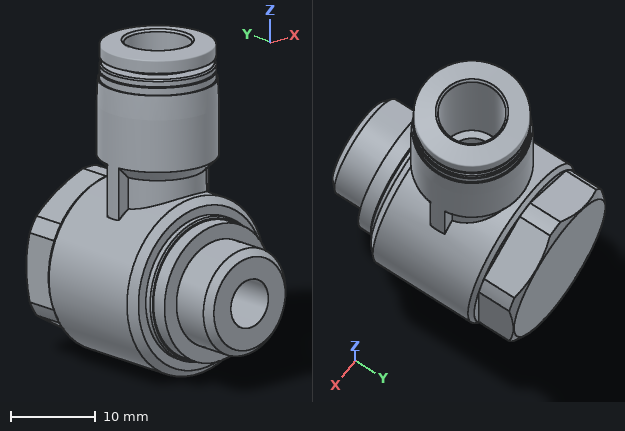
import cadquery as cq
import math


NUT_REAR_Y = 12.55
BODY_REAR_Y = 7.6
BODY_FRONT_Y = -7.6
SEAL_FRONT_Y = -8.55
SHOULDER_FRONT_Y = -10.45
STUD_FRONT_Y = -16.05

BODY_RADIUS = 22.0 / 2
BODY_FRONT_CHAMFER = 0.95
BODY_REAR_CHAMFER_LENGTH = 0.6
BODY_REAR_CHAMFER_DROP = 0.45
SEAL_RADIUS = 17.7 / 2
SEAL_CHAMFER = 0.2
SHOULDER_RADIUS = 17.0 / 2
STUD_RADIUS = 13.15 / 2
STUD_CHAMFER = 0.88

NUT_FLATS = 19.15
NUT_CORNER_RADIUS = 10.5
NUT_FACE_RADIUS = 9.5
NUT_CHAMFER_LENGTH = 0.65

OVERALL_HEIGHT = 39.9
TOP_Z = OVERALL_HEIGHT - BODY_RADIUS
BUTTON_BOTTOM_Z = TOP_Z - 2.0
CAP_TOP_Z = TOP_Z - 2.8
GROOVE_Z = TOP_Z - 3.75
SLEEVE_TOP_Z = TOP_Z - 4.7
CROWN_BOTTOM_Z = TOP_Z - 7.7
SLEEVE_BOTTOM_Z = TOP_Z - 14.12

BUTTON_RADIUS = 13.8 / 2
BUTTON_CROWN_DROP = 0.35
BUTTON_ROUND = 0.2
BUTTON_NECK_RADIUS = 9.8 / 2
BUTTON_NECK_CHAMFER = 0.15
CAP_CHAMFER = 0.2
GROOVE_WIDTH = 0.1
GROOVE_DEPTH = 0.1
SLEEVE_RADIUS = 14.5 / 2
SLEEVE_TOP_RADIUS = 7.1
NECK_RADIUS = 5.75
RIB_THICKNESS = 2.07

TUBE_BORE_RADIUS = 8.0 / 2
TUBE_BORE_CHAMFER = 0.28
TUBE_BORE_BOTTOM_Z = SLEEVE_BOTTOM_Z
FLOW_RADIUS = 6.0 / 2


def y_cylinder(radius, y_start, y_end):
    """Cylinder on the stud axis, from y_start forward to y_end."""
    return cq.Workplane("XZ", origin=(0, y_start, 0)).circle(radius).extrude(y_start - y_end)


def z_cylinder(radius, z_bottom, z_top):
    return cq.Workplane("XY", origin=(0, 0, z_bottom)).circle(radius).extrude(z_top - z_bottom)


def make_stud_body():
    """Turned body, seal ring, shoulder and stud."""
    profile = [
        (0, BODY_REAR_Y),
        (BODY_RADIUS - BODY_REAR_CHAMFER_DROP, BODY_REAR_Y),
        (BODY_RADIUS, BODY_REAR_Y - BODY_REAR_CHAMFER_LENGTH),
        (BODY_RADIUS, BODY_FRONT_Y + BODY_FRONT_CHAMFER),
        (BODY_RADIUS - BODY_FRONT_CHAMFER, BODY_FRONT_Y),
        (SEAL_RADIUS, BODY_FRONT_Y),
        (SEAL_RADIUS, SEAL_FRONT_Y + SEAL_CHAMFER),
        (SEAL_RADIUS - SEAL_CHAMFER, SEAL_FRONT_Y),
        (SHOULDER_RADIUS, SEAL_FRONT_Y),
        (SHOULDER_RADIUS, SHOULDER_FRONT_Y),
        (STUD_RADIUS, SHOULDER_FRONT_Y),
        (STUD_RADIUS, STUD_FRONT_Y + STUD_CHAMFER),
        (STUD_RADIUS - STUD_CHAMFER, STUD_FRONT_Y),
        (0, STUD_FRONT_Y),
    ]
    return cq.Workplane("XY").polyline(profile).close().revolve(360, (0, 0, 0), (0, 1, 0))


def make_nut():
    """Hexagon with two flats facing +/-X, trimmed by a chamfered cylinder."""
    corner_diameter = NUT_FLATS / math.cos(math.pi / 6)
    hexagon = (
        cq.Workplane("XZ", origin=(0, NUT_REAR_Y, 0))
        .transformed(rotate=(0, 0, 90))
        .polygon(6, corner_diameter)
        .extrude(NUT_REAR_Y - BODY_REAR_Y)
    )
    envelope_profile = [
        (0, BODY_REAR_Y),
        (NUT_CORNER_RADIUS, BODY_REAR_Y),
        (NUT_CORNER_RADIUS, NUT_REAR_Y - NUT_CHAMFER_LENGTH),
        (NUT_FACE_RADIUS, NUT_REAR_Y),
        (0, NUT_REAR_Y),
    ]
    envelope = cq.Workplane("XY").polyline(envelope_profile).close().revolve(360, (0, 0, 0), (0, 1, 0))
    return hexagon.intersect(envelope)


def make_tube_socket():
    """Turned neck, sleeve with curved crown, grooved cap and release button."""
    groove_bottom_z = GROOVE_Z - GROOVE_WIDTH / 2
    groove_top_z = GROOVE_Z + GROOVE_WIDTH / 2
    neck_top_z = SLEEVE_BOTTOM_Z - (SLEEVE_RADIUS - NECK_RADIUS)
    crown_edge_z = TOP_Z - BUTTON_CROWN_DROP
    button_neck_top_z = BUTTON_BOTTOM_Z - BUTTON_NECK_CHAMFER
    profile = (
        cq.Workplane("XZ")
        .moveTo(0, 0)
        .lineTo(NECK_RADIUS, 0)
        .lineTo(NECK_RADIUS, neck_top_z)
        .lineTo(SLEEVE_RADIUS, SLEEVE_BOTTOM_Z)
        .lineTo(SLEEVE_RADIUS, CROWN_BOTTOM_Z)
        .tangentArcPoint((SLEEVE_TOP_RADIUS, SLEEVE_TOP_Z), relative=False)
        .lineTo(BUTTON_RADIUS, SLEEVE_TOP_Z)
        .lineTo(BUTTON_RADIUS, groove_bottom_z)
        .lineTo(BUTTON_RADIUS - GROOVE_DEPTH, groove_bottom_z)
        .lineTo(BUTTON_RADIUS - GROOVE_DEPTH, groove_top_z)
        .lineTo(BUTTON_RADIUS, groove_top_z)
        .lineTo(BUTTON_RADIUS, CAP_TOP_Z - CAP_CHAMFER)
        .lineTo(BUTTON_RADIUS - CAP_CHAMFER, CAP_TOP_Z)
        .lineTo(BUTTON_NECK_RADIUS, CAP_TOP_Z)
        .lineTo(BUTTON_NECK_RADIUS, button_neck_top_z)
        .lineTo(BUTTON_NECK_RADIUS + BUTTON_NECK_CHAMFER, BUTTON_BOTTOM_Z)
        .lineTo(BUTTON_RADIUS, BUTTON_BOTTOM_Z)
        .lineTo(BUTTON_RADIUS, crown_edge_z - BUTTON_ROUND)
        .tangentArcPoint((BUTTON_RADIUS - BUTTON_ROUND, crown_edge_z), relative=False)
        .lineTo(TUBE_BORE_RADIUS + TUBE_BORE_CHAMFER, TOP_Z)
        .lineTo(0, TOP_Z)
        .close()
    )
    return profile.revolve(360, (0, 0, 0), (0, 1, 0))


def make_ribs():
    """One plate through the neck forms both ribs, with outer faces flush with the sleeve."""
    plate = cq.Workplane("XY").rect(2 * BODY_RADIUS, RIB_THICKNESS).extrude(SLEEVE_BOTTOM_Z)
    return plate.intersect(z_cylinder(SLEEVE_RADIUS, 0, SLEEVE_BOTTOM_Z))


def make_passages():
    """Stepped tube bore turning into the stud bore through a spherical corner."""
    chamfer_bottom_z = TOP_Z - TUBE_BORE_CHAMFER
    mouth = (
        cq.Workplane("XY", origin=(0, 0, chamfer_bottom_z))
        .circle(TUBE_BORE_RADIUS)
        .workplane(offset=TUBE_BORE_CHAMFER)
        .circle(TUBE_BORE_RADIUS + TUBE_BORE_CHAMFER)
        .loft()
    )
    tube_bore = z_cylinder(TUBE_BORE_RADIUS, TUBE_BORE_BOTTOM_Z, chamfer_bottom_z)
    tube_flow = z_cylinder(FLOW_RADIUS, 0, TUBE_BORE_BOTTOM_Z)
    stud_flow = y_cylinder(FLOW_RADIUS, 0, STUD_FRONT_Y)
    corner = cq.Workplane("XY").sphere(FLOW_RADIUS)
    return corner.union(tube_flow).union(stud_flow).union(tube_bore).union(mouth)


outside = make_stud_body().union(make_nut()).union(make_tube_socket()).union(make_ribs())
result = outside.cut(make_passages()).clean()